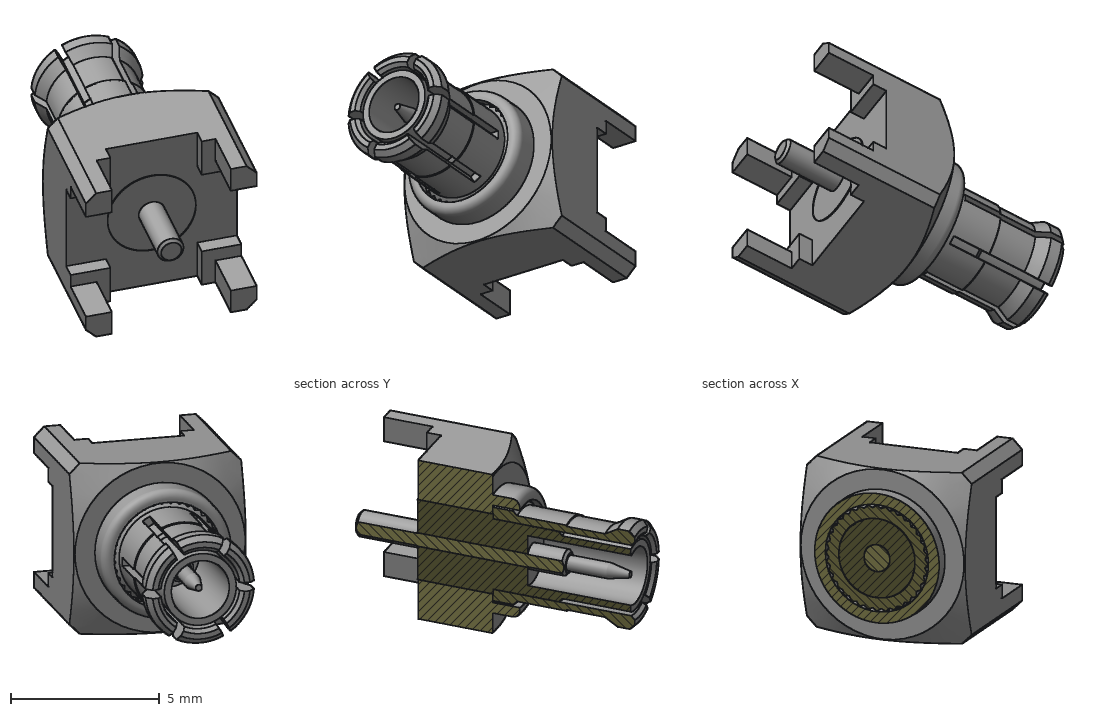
import cadquery as cq
import math


length = 10.21
block_side = 6.0
block_corner_chamfer = 0.36
collar_front_x = 4.2
block_front_x = 5.18
floor_x = 7.91
leg_step_x = 8.43
collar_radius = 2.28
collar_fillet = 0.29
front_circle_radius = 2.97
front_cone_angle = 30.0
leg_gap = 4.18
step_gap = 3.21

lip_front_radius = 1.7
lip_radius = 1.9
neck_radius = 1.63
barrel_radius = 1.67
lip_start_x = lip_radius - lip_front_radius
lip_end_x = 0.62
neck_start_x = 1.08
barrel_start_x = 2.49
mouth_radius = 1.51
slot_count = 6
slot_width = 0.3
slot_end_x = 3.91
knurl_rib_count = 36
knurl_front_x = 4.3
knurl_crest_radius = 1.87
knurl_valley_radius = 1.77

insulator_front_x = 0.13
insulator_step_x = 2.64
insulator_rear_x = 7.94
cup_floor_x = slot_end_x
cup_bore_radius = 1.01
cup_radius = 1.26
insulator_radius = 1.38
insulator_rear_radius = 1.55

pin_radius = 0.46
pin_end_chamfer = 0.1
pin_tip_x = 0.33
pin_cone_end_x = 1.09
pin_shoulder_x = 2.55
pin_tip_radius = 0.11
pin_nose_radius = 0.28


def revolve(points):
    """Solid of revolution about the X axis from (x, radius) points."""
    return cq.Workplane("XY").polyline(points).close().revolve(360, (0, 0, 0), (1, 0, 0))


def cylinder(start_x, end_x, radius):
    return cq.Workplane("YZ", origin=(start_x, 0, 0)).circle(radius).extrude(end_x - start_x)


def cross_gap(start_x, width):
    """Two crossing channels, one along Y and one along Z, open toward the rear."""
    depth = length - start_x
    channel_centre = cq.Workplane("XY", origin=((start_x + length) / 2, 0, 0))
    return channel_centre.box(depth, block_side, width).union(channel_centre.box(depth, width, block_side))


def make_housing():
    block = (
        cq.Workplane("YZ", origin=(block_front_x, 0, 0))
        .rect(block_side, block_side)
        .extrude(length - block_front_x)
        .edges("|X")
        .chamfer(block_corner_chamfer)
    )
    cone_rise = block_side
    cone_end_x = block_front_x + cone_rise * math.tan(math.radians(front_cone_angle))
    bevel = revolve([
        (block_front_x, 0),
        (block_front_x, front_circle_radius),
        (cone_end_x, front_circle_radius + cone_rise),
        (length, front_circle_radius + cone_rise),
        (length, 0),
    ])
    block = block.intersect(bevel).cut(cross_gap(leg_step_x, leg_gap)).cut(cross_gap(floor_x, step_gap))

    collar = cylinder(collar_front_x, block_front_x, collar_radius).faces("<X").edges().fillet(collar_fillet)
    sleeve_bore = cylinder(collar_front_x, block_front_x, knurl_crest_radius)
    insulator_bore = cylinder(block_front_x, floor_x, insulator_rear_radius)
    return block.union(collar).cut(sleeve_bore).cut(insulator_bore)


def knurl_prism():
    """Star-shaped bar whose ribs form the straight knurl."""
    points = []
    for i in range(2 * knurl_rib_count):
        radius = knurl_crest_radius if i % 2 == 0 else knurl_valley_radius
        angle = i * math.pi / knurl_rib_count
        points.append((radius * math.cos(angle), radius * math.sin(angle)))
    shank = cq.Workplane("YZ", origin=(knurl_front_x, 0, 0)).polyline(points).close()
    return shank.extrude(block_front_x - knurl_front_x)


def make_sleeve():
    collet = revolve([
        (0, mouth_radius),
        (0, lip_front_radius),
        (lip_start_x, lip_radius),
        (lip_end_x, lip_radius),
        (neck_start_x, neck_radius),
        (barrel_start_x, neck_radius),
        (barrel_start_x, barrel_radius),
        (knurl_front_x, barrel_radius),
        (knurl_front_x, insulator_radius),
        (mouth_radius - insulator_radius, insulator_radius),
    ])
    for i in range(slot_count):
        slot = (
            cq.Workplane("XY")
            .box(slot_end_x, lip_radius, slot_width, centered=(False, False, True))
            .rotate((0, 0, 0), (1, 0, 0), i * 360 / slot_count)
        )
        collet = collet.cut(slot)

    knurl_rise = knurl_crest_radius - barrel_radius
    shank = revolve([
        (knurl_front_x, insulator_radius),
        (knurl_front_x, barrel_radius),
        (knurl_front_x + knurl_rise, knurl_crest_radius),
        (block_front_x, knurl_crest_radius),
        (block_front_x, insulator_radius),
    ])
    return collet.union(shank.intersect(knurl_prism()))


def make_insulator():
    return revolve([
        (insulator_front_x, cup_bore_radius),
        (insulator_front_x, cup_radius),
        (insulator_step_x, cup_radius),
        (insulator_step_x + insulator_radius - cup_radius, insulator_radius),
        (block_front_x, insulator_radius),
        (block_front_x, insulator_rear_radius),
        (insulator_rear_x, insulator_rear_radius),
        (insulator_rear_x, pin_radius),
        (cup_floor_x, pin_radius),
        (cup_floor_x, cup_bore_radius),
    ])


def make_pin():
    return revolve([
        (pin_tip_x, 0),
        (pin_tip_x, pin_tip_radius),
        (pin_cone_end_x, pin_nose_radius),
        (pin_shoulder_x, pin_nose_radius),
        (pin_shoulder_x, pin_radius - pin_end_chamfer),
        (pin_shoulder_x + pin_end_chamfer, pin_radius),
        (length - pin_end_chamfer, pin_radius),
        (length, pin_radius - pin_end_chamfer),
        (length, 0),
    ])


housing = make_housing()
sleeve = make_sleeve()
insulator = make_insulator()
pin = make_pin()

result = cq.Compound.makeCompound([housing.val(), sleeve.val(), insulator.val(), pin.val()])